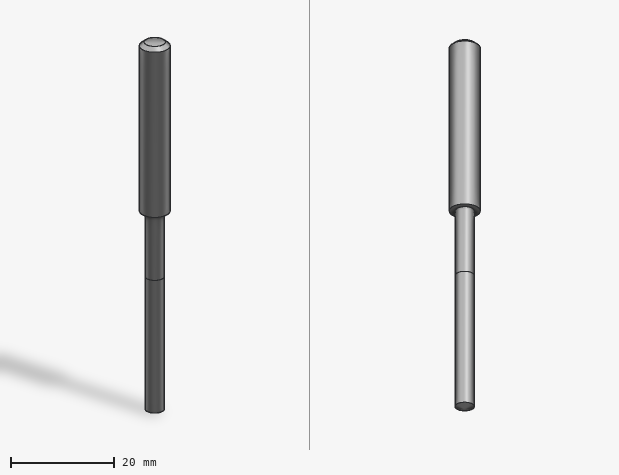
import cadquery as cq
import math

TOTAL_LENGTH = 79.0
SHANK_LENGTH = 36.0
CUTTING_LENGTH = 29.0

SHANK_DIAMETER = 6.0
CHAMFER_HEIGHT = 0.8
CHAMFER_WIDTH = 0.95

DRILL_DIAMETER = 3.7
POINT_ANGLE = 140.0

tip_z = -TOTAL_LENGTH / 2
joint_z = tip_z + CUTTING_LENGTH
top_z = TOTAL_LENGTH / 2
shoulder_z = top_z - SHANK_LENGTH

shank_radius = SHANK_DIAMETER / 2
drill_radius = DRILL_DIAMETER / 2
tip_height = drill_radius / math.tan(math.radians(POINT_ANGLE / 2))


def revolve_profile(points):
    """Turn a closed (radius, z) outline around the Z axis."""
    return cq.Workplane("XZ").polyline(points).close().revolve(360, (0, 0), (0, 1))


def make_holder():
    """Chamfered shank with the plain neck below its shoulder."""
    return revolve_profile([
        (0, joint_z),
        (drill_radius, joint_z),
        (drill_radius, shoulder_z),
        (shank_radius, shoulder_z),
        (shank_radius, top_z - CHAMFER_HEIGHT),
        (shank_radius - CHAMFER_WIDTH, top_z),
        (0, top_z),
    ])


def make_cutting_part():
    """Cylindrical cutting part with a conical point, butted against the neck."""
    return revolve_profile([
        (0, tip_z),
        (drill_radius, tip_z + tip_height),
        (drill_radius, joint_z),
        (0, joint_z),
    ])


holder = make_holder()
cutting_part = make_cutting_part()

result = cq.Compound.makeCompound([holder.val(), cutting_part.val()])